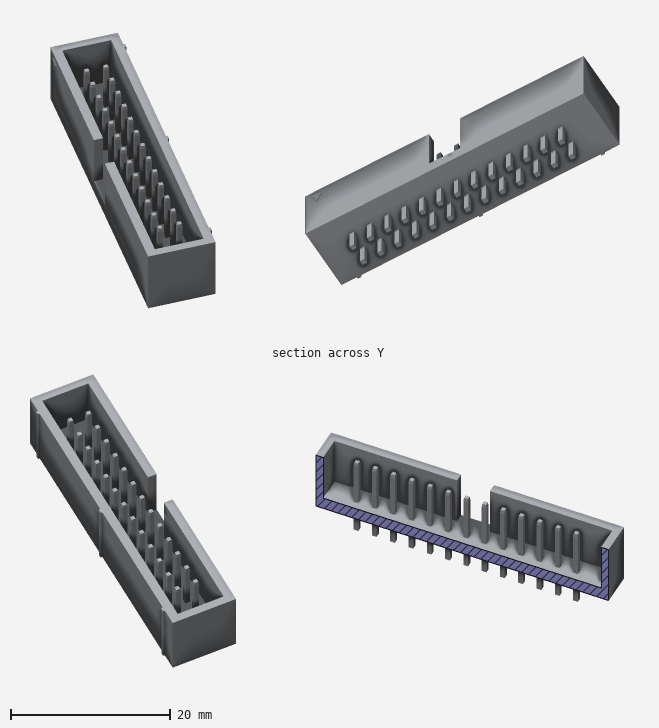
import cadquery as cq

length = 40.7
width = 8.85
height = 8.83

cavity_depth = 7.0
end_wall = 1.05
side_wall = 1.22
notch_width = 4.55
floor_height = height - cavity_depth

columns = 13
rows = 2
column_span = 30.45
pitch = column_span / (columns - 1)
pin_width = 0.65
pin_tail = 3.0
pin_top_gap = 0.33
tip_height = 0.5
tip_width = 0.53

rib_spacing = 17.8
rib_width = 0.55
rib_projection = 0.25
rib_root = 0.4
rib_chamfer = 0.1

mark_inset = 0.98
mark_drop = 0.95
mark_width = 1.5
mark_height = 1.6
mark_projection = 0.1


def make_housing():
    """Open-topped box with a notch through the middle of the front wall."""
    cavity_width = width - 2 * side_wall
    body = cq.Workplane("XY").box(length, width, height, centered=(True, True, False))
    cavity = (
        cq.Workplane("XY", origin=(0, 0, floor_height))
        .box(length - 2 * end_wall, cavity_width, cavity_depth, centered=(True, True, False))
    )
    notch = (
        cq.Workplane("XY", origin=(0, -width / 2, floor_height))
        .box(notch_width, side_wall, cavity_depth, centered=(True, False, False))
    )
    return body.cut(cavity).cut(notch)


def make_ribs():
    """Three full-height ribs with chamfered corners, their roots sunk into the back wall."""
    half = rib_width / 2
    outer_half = half - rib_chamfer
    shoulder = rib_projection - rib_chamfer
    rib = (
        cq.Workplane("XY")
        .polyline([
            (-half, -rib_root),
            (half, -rib_root),
            (half, shoulder),
            (outer_half, rib_projection),
            (-outer_half, rib_projection),
            (-half, shoulder),
        ])
        .close()
        .extrude(height)
        .val()
    )
    return (
        cq.Workplane("XY")
        .pushPoints([(step * rib_spacing, width / 2) for step in (-1, 0, 1)])
        .eachpoint(lambda place: rib.moved(place))
    )


def make_pins():
    """Grid of square pins through the floor, each with a tapered upper tip."""
    shoulder_height = height - pin_top_gap - tip_height
    pin = (
        cq.Workplane("XY", origin=(0, 0, -pin_tail))
        .rect(pin_width, pin_width)
        .extrude(pin_tail + shoulder_height)
        .faces(">Z")
        .workplane()
        .rect(pin_width, pin_width)
        .workplane(offset=tip_height)
        .rect(tip_width, tip_width)
        .loft(combine=True)
        .val()
    )
    return (
        cq.Workplane("XY")
        .rarray(pitch, pitch, columns, rows)
        .eachpoint(lambda place: pin.moved(place))
    )


def make_mark():
    """Downward-pointing triangle near the upper left corner of the front wall."""
    left = -length / 2 + mark_inset
    top = height - mark_drop
    return (
        cq.Workplane("XZ", origin=(0, -width / 2, 0))
        .polyline([
            (left, top),
            (left + mark_width, top),
            (left + mark_width / 2, top - mark_height),
        ])
        .close()
        .extrude(mark_projection)
    )


result = make_housing().union(make_ribs()).union(make_pins()).union(make_mark())